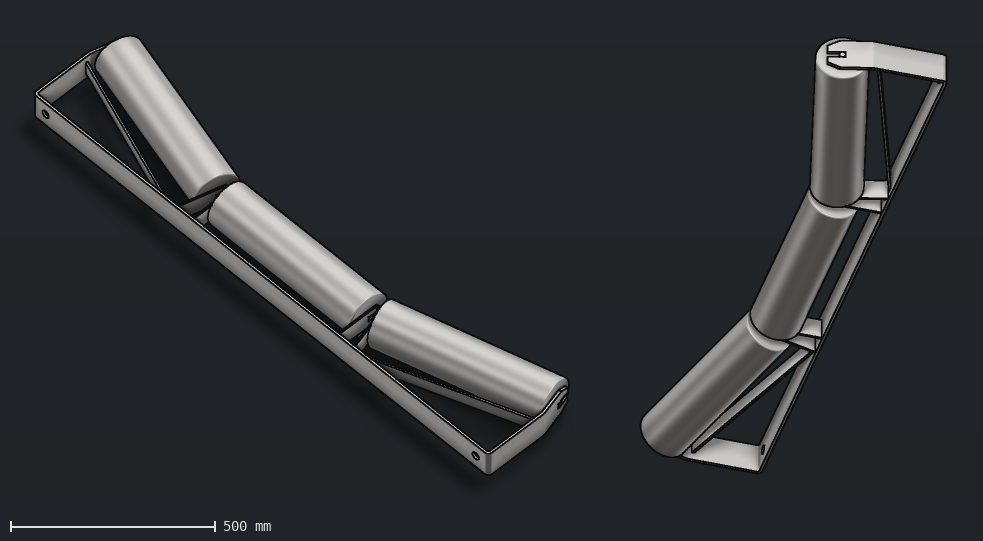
import cadquery as cq
import math

FRAME_LENGTH = 1600.0
BAR_HEIGHT = 83.0
BAR_THICKNESS = 8.0
BEND_RADIUS = 13.0
ARM_TOP = 190.0
END_PLATE_LENGTH = 112.0
TIP_CHAMFER_LENGTH = 30.0
TIP_CHAMFER_HEIGHT = 16.0
MOUNT_HOLE_DIAMETER = 22.0
MOUNT_HOLE_INSET = 45.0

ROLLER_DIAMETER = 133.0
ROLLER_LENGTH = 500.0
ROLLER_EDGE_RADIUS = 5.0
AXLE_DIAMETER = 16.0
SLOT_OVERRUN = 3.0
CENTRE_ROLLER_Y = 126.0
CENTRE_ROLLER_Z = -8.0
WING_ANGLE = 15.0
WING_TILT = 0.7
WING_ROLLER_X = 528.0
WING_ROLLER_Y = 195.0
WING_ROLLER_Z = -5.0
WING_AXLE_LENGTH = 523.0

BRACKET_THICKNESS = 5.0
BRACKET_TOP = 150.0
BRACKET_HEIGHT = 56.0
BRACKET_INNER_X = 253.0
BRACKET_RIDGE_WIDTH = 24.0

BRACE_THICKNESS = 6.0
BRACE_HEIGHT = 40.0
BRACE_ARM_Y = 180.0
BRACE_FOOT_X = 320.0

HALF_LENGTH = FRAME_LENGTH / 2
WING_SIN = math.sin(math.radians(WING_ANGLE))
WING_COS = math.cos(math.radians(WING_ANGLE))
WING_SLOPE = math.tan(math.radians(WING_ANGLE))
CENTRE_AXLE_LENGTH = 2 * (BRACKET_INNER_X + BRACKET_THICKNESS)


def mirrored(body):
    return body.mirror("YZ")


def place_on_wing(body):
    """Move a body from the roller's own axes, axle along X, to the left wing."""
    tilted = body.rotate((0, 0, 0), (0, 1, 0), WING_TILT)
    swung = tilted.rotate((0, 0, 0), (0, 0, 1), -WING_ANGLE)
    return swung.translate((-WING_ROLLER_X, WING_ROLLER_Y, WING_ROLLER_Z))


def place_at_centre(body):
    return body.translate((0, CENTRE_ROLLER_Y, CENTRE_ROLLER_Z))


def cylinder_along_x(diameter, length):
    return cq.Workplane("YZ", origin=(-length / 2, 0, 0)).circle(diameter / 2).extrude(length)


def make_roller(axle_length):
    drum = cylinder_along_x(ROLLER_DIAMETER, ROLLER_LENGTH)
    drum = drum.edges("%CIRCLE").fillet(ROLLER_EDGE_RADIUS)
    return drum.union(cylinder_along_x(AXLE_DIAMETER, axle_length))


def make_axle_slot(axle_length):
    """Cutter for the open slots that both ends of an axle drop into."""
    depth = ROLLER_DIAMETER
    slot = cq.Workplane("XY").box(axle_length + 2 * SLOT_OVERRUN, depth, AXLE_DIAMETER)
    return slot.translate((0, (depth - AXLE_DIAMETER) / 2, 0))


def with_mirrored_points(points):
    """Close an outline of the left half with its mirror image on the right."""
    return points + [(-x, y) for x, y in reversed(points)]


def plate(points, height=BAR_HEIGHT):
    return cq.Workplane("XY").polyline(points).close().extrude(height / 2, both=True)


def bend(body, radius):
    """Round the upright edges at the feet and tops of the frame's arms."""
    bend_region = cq.selectors.BoxSelector(
        (-FRAME_LENGTH, -BAR_HEIGHT, -BAR_HEIGHT),
        (FRAME_LENGTH, ARM_TOP + END_PLATE_LENGTH / 2, BAR_HEIGHT),
    )
    return body.edges("|Z").edges(bend_region).fillet(radius)


def make_tip_profile():
    """Side outline of the frame, with chamfered corners at the tips of the end plates."""
    half = BAR_HEIGHT / 2
    tip_y = ARM_TOP + END_PLATE_LENGTH * WING_COS
    chamfer_y = tip_y - TIP_CHAMFER_LENGTH
    return cq.Workplane("YZ").polyline([
        (0, -half),
        (chamfer_y, -half),
        (tip_y, TIP_CHAMFER_HEIGHT - half),
        (tip_y, half - TIP_CHAMFER_HEIGHT),
        (chamfer_y, half),
        (0, half),
    ]).close().extrude(HALF_LENGTH, both=True)


def make_frame(wing_slot):
    tip_x = -HALF_LENGTH + END_PLATE_LENGTH * WING_SIN
    tip_y = ARM_TOP + END_PLATE_LENGTH * WING_COS
    outside = plate(with_mirrored_points([
        (-HALF_LENGTH, 0),
        (-HALF_LENGTH, ARM_TOP),
        (tip_x, tip_y),
        (tip_x + BAR_THICKNESS * WING_COS, tip_y - BAR_THICKNESS * WING_SIN),
    ]))

    inner_x = -HALF_LENGTH + BAR_THICKNESS
    inner_arm_top = ARM_TOP - BAR_THICKNESS * math.tan(math.radians(WING_ANGLE / 2))
    overrun = 2 * END_PLATE_LENGTH
    inside = plate(with_mirrored_points([
        (inner_x, BAR_THICKNESS),
        (inner_x, inner_arm_top),
        (inner_x + overrun * WING_SIN, inner_arm_top + overrun * WING_COS),
    ]))

    frame = bend(outside, BEND_RADIUS).cut(bend(inside, BEND_RADIUS - BAR_THICKNESS))
    frame = frame.intersect(make_tip_profile())
    frame = frame.cut(wing_slot).cut(mirrored(wing_slot))
    hole_x = HALF_LENGTH - MOUNT_HOLE_INSET
    holes = cq.Workplane("XZ").pushPoints([(-hole_x, 0), (hole_x, 0)])
    return frame.cut(holes.circle(MOUNT_HOLE_DIAMETER / 2).extrude(-BAR_THICKNESS))


def make_bracket(wing_slot, centre_slot):
    """Left bracket: a vertical leg, a flat ridge and a leg parallel to the wing roller's end."""
    foot = BAR_THICKNESS
    under_ridge = BRACKET_TOP - BRACKET_THICKNESS
    leg_width = BRACKET_THICKNESS / WING_COS
    vertical_outer_x = -BRACKET_INNER_X - BRACKET_THICKNESS
    ridge_end_x = -BRACKET_INNER_X - BRACKET_RIDGE_WIDTH

    def leaning_x(y):
        return ridge_end_x - (BRACKET_TOP - y) * WING_SLOPE

    bracket = plate([
        (-BRACKET_INNER_X, foot),
        (-BRACKET_INNER_X, BRACKET_TOP),
        (ridge_end_x, BRACKET_TOP),
        (leaning_x(foot), foot),
        (leaning_x(foot) + leg_width, foot),
        (leaning_x(under_ridge) + leg_width, under_ridge),
        (vertical_outer_x, under_ridge),
        (vertical_outer_x, foot),
    ], BRACKET_HEIGHT).translate((0, 0, CENTRE_ROLLER_Z))
    return bracket.cut(wing_slot).cut(centre_slot)


def make_brace():
    """Left brace, from the inside of the frame's arm down to the frame's bar."""
    arm_x = HALF_LENGTH - BAR_THICKNESS
    slope = math.atan2(BRACE_ARM_Y - BAR_THICKNESS, arm_x - BRACE_FOOT_X)
    drop = BRACE_THICKNESS / math.cos(slope)
    run = BRACE_THICKNESS / math.sin(slope)
    return plate([
        (-arm_x, BRACE_ARM_Y),
        (-BRACE_FOOT_X, BAR_THICKNESS),
        (-BRACE_FOOT_X - run, BAR_THICKNESS),
        (-arm_x, BRACE_ARM_Y - drop),
    ], BRACE_HEIGHT)


wing_slot = place_on_wing(make_axle_slot(WING_AXLE_LENGTH))
centre_slot = place_at_centre(make_axle_slot(CENTRE_AXLE_LENGTH))

frame = make_frame(wing_slot)
centre_roller = place_at_centre(make_roller(CENTRE_AXLE_LENGTH))
wing_roller = place_on_wing(make_roller(WING_AXLE_LENGTH))
bracket = make_bracket(wing_slot, centre_slot)
brace = make_brace()

bodies = [frame.val(), centre_roller.val()]
for left_body in (wing_roller, bracket, brace):
    bodies.append(left_body.val())
    bodies.append(mirrored(left_body).val())

result = cq.Compound.makeCompound(bodies)